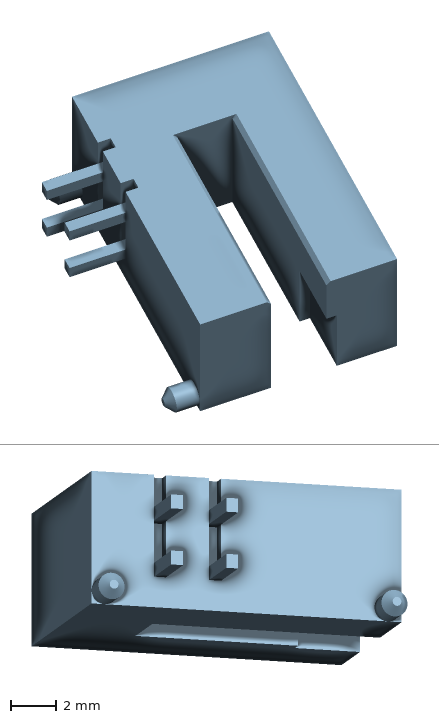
import cadquery as cq


length = 14.3
depth = 9.5
height = 6.0

slot_start_x = 3.8
slot_front_y = 3.42
slot_width = 2.67
slot_back_y = slot_front_y + slot_width
slot_chamfer = 0.2

recess_length = 3.0
recess_depth = 0.5
recess_top_z = 3.5

lead_width = 0.55
lead_height = 0.63
lead_reach = 2.7
lead_pitch = 2.54
first_lead_x = 3.16
first_lead_z = 1.7
lead_xs = [first_lead_x, first_lead_x + lead_pitch]
lead_zs = [first_lead_z, first_lead_z + lead_pitch]

groove_depth = 0.62
groove_bottom_z = first_lead_z - lead_height / 2

post_diameter = 1.2
post_radius = post_diameter / 2
post_length = 1.5
post_tip_diameter = 0.4
post_taper_length = 0.4
post_spacing = 13.05
post_xs = [post_radius, post_radius + post_spacing]


def box_between(x0, x1, y0, y1, z0, z1):
    """Box spanning the given limits on each axis."""
    return cq.Workplane("XY").box(x1 - x0, y1 - y0, z1 - z0, centered=False).translate((x0, y0, z0))


def make_slot_cutter():
    """Slot cross-section in YZ, flared by the chamfers at its top edges, swept along X."""
    chamfer_z = height - slot_chamfer
    profile = [
        (slot_front_y, 0),
        (slot_back_y, 0),
        (slot_back_y, chamfer_z),
        (slot_back_y + slot_chamfer, height),
        (slot_front_y - slot_chamfer, height),
        (slot_front_y, chamfer_z),
    ]
    slot = cq.Workplane("YZ").polyline(profile).close().extrude(length - slot_start_x)
    return slot.translate((slot_start_x, 0, 0))


def make_post(x):
    """Round post with a conical tip, pointing toward -Y and resting on the housing's bottom plane."""
    half_profile = [
        (0, 0),
        (post_radius, 0),
        (post_radius, -(post_length - post_taper_length)),
        (post_tip_diameter / 2, -post_length),
        (0, -post_length),
    ]
    post = cq.Workplane("XY").polyline(half_profile).close().revolve(360, (0, 0, 0), (0, 1, 0))
    return post.translate((x, 0, post_radius))


def make_housing():
    """Block with the slot, wall recess, lead grooves and locating posts."""
    body = box_between(0, length, 0, depth, 0, height)
    body = body.cut(make_slot_cutter())
    recess = box_between(
        length - recess_length, length, slot_back_y, slot_back_y + recess_depth, 0, recess_top_z
    )
    body = body.cut(recess)
    for x in lead_xs:
        groove = box_between(
            x - lead_width / 2, x + lead_width / 2, 0, groove_depth, groove_bottom_z, height
        )
        body = body.cut(groove)
    for x in post_xs:
        body = body.union(make_post(x))
    return body


def make_lead(x, z):
    """Straight rectangular lead running from the groove floor out past the front face."""
    return box_between(
        x - lead_width / 2, x + lead_width / 2,
        -lead_reach, groove_depth,
        z - lead_height / 2, z + lead_height / 2,
    )


housing = make_housing()
leads = [make_lead(x, z) for x in lead_xs for z in lead_zs]

result = cq.Compound.makeCompound([housing.val(), *[lead.val() for lead in leads]])